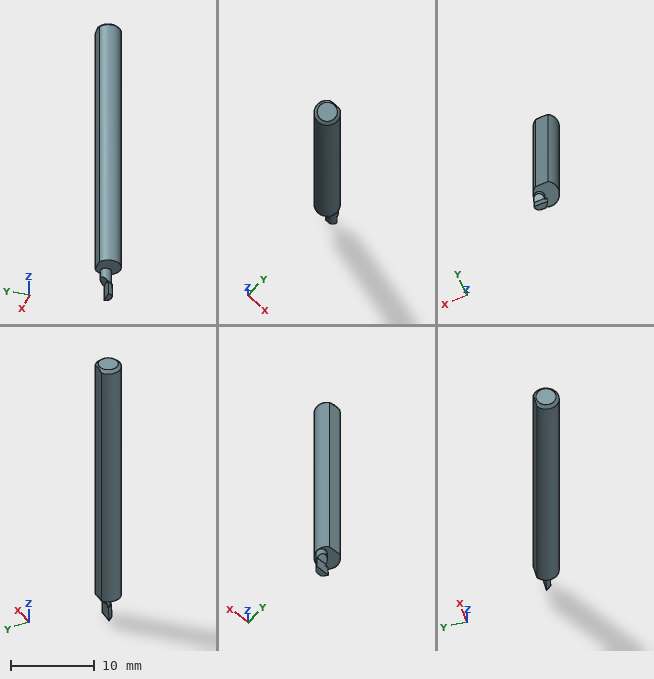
import cadquery as cq

total_length = 38.1
shank_radius = 1.58
flat_offset = 1.353
top_chamfer = 0.4
shoulder_z = 3.85

neck_radius = 0.7
neck_x = shank_radius - neck_radius

head_height = 1.83
head_taper = 0.1
tip_x = -0.2
flank_x = 0.1
flank_y = -0.45
heel_x = 0.35

runout_z = 2.15
end_rise_x = 0.095
end_rise_y = 0.05


def make_shank():
    length = total_length - shoulder_z
    shank = (
        cq.Workplane("XY", origin=(0, 0, shoulder_z))
        .circle(shank_radius)
        .extrude(length)
        .faces(">Z")
        .chamfer(top_chamfer)
    )
    flat_cut = cq.Workplane("XY").box(
        2 * shank_radius, shank_radius, total_length, centered=(True, False, False)
    )
    return shank.cut(flat_cut.translate((0, flat_offset, 0)))


def make_neck():
    return cq.Workplane("XY").center(neck_x, 0).circle(neck_radius).extrude(shoulder_z)


def head_outline(shift):
    """Head section with its side corners moved along X."""
    return [
        (tip_x + shift, 0),
        (flank_x + shift, flank_y),
        (heel_x + shift, -neck_radius),
        (neck_x, -neck_radius),
        (neck_x, 0),
    ]


def make_head():
    return (
        cq.Workplane("XY")
        .polyline(head_outline(0))
        .close()
        .workplane(offset=head_height)
        .polyline(head_outline(head_taper))
        .close()
        .loft(ruled=True)
    )


def rake_cut():
    """Removes the +Y half of the neck below the run-out."""
    return (
        cq.Workplane("YZ")
        .polyline([(0, 0), (0, runout_z), (neck_radius, runout_z + neck_radius), (neck_radius, 0)])
        .close()
        .extrude(shank_radius, both=True)
    )


def end_relief():
    """Wedge under the end face, which climbs from the tip towards +X and -Y."""
    end_width = shank_radius - tip_x
    wedge_depth = 0.4
    corners = [(tip_x, 0), (shank_radius, 0), (shank_radius, -neck_radius), (tip_x, -neck_radius)]

    def end_z(x, y):
        return end_rise_x * (x - tip_x) / end_width - end_rise_y * y / neck_radius

    top = [cq.Vector(x, y, end_z(x, y)) for x, y in corners]
    base = [cq.Vector(x, y, -wedge_depth) for x, y in corners]
    loops = [top, base]
    for i in range(len(corners)):
        j = (i + 1) % len(corners)
        loops.append([base[i], base[j], top[j], top[i]])
    faces = [cq.Face.makeFromWires(cq.Wire.makePolygon(loop, close=True)) for loop in loops]
    return cq.Workplane(cq.Solid.makeSolid(cq.Shell.makeShell(faces)))


cutter = make_neck().union(make_head()).cut(rake_cut()).cut(end_relief())
result = make_shank().union(cutter)